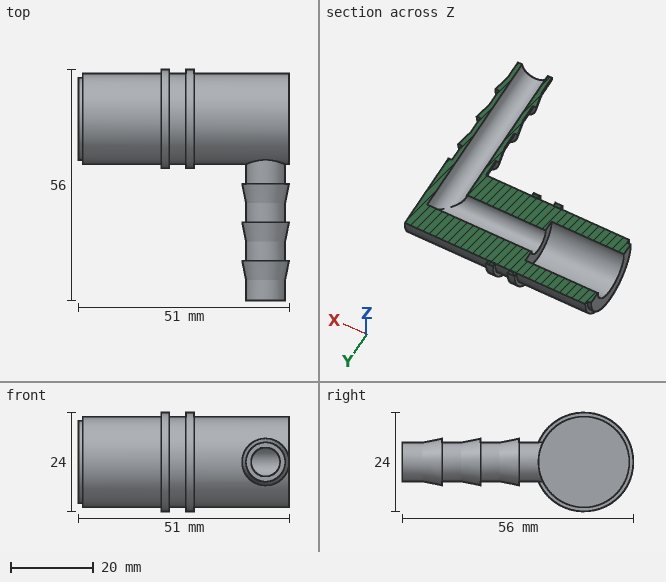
import cadquery as cq

barrel_length = 51.0
barrel_diameter = 22.0
nose_length = 1.0
nose_diameter = 20.0

socket_diameter = 13.0
socket_depth = 20.0
passage_diameter = 7.0
passage_radius = passage_diameter / 2

ring_diameter = 24.0
ring_width = 2.0
ring_starts = [20.0, 26.0]

tail_diameter = 9.5
tail_x = 45.3
tail_end = 44.0
barb_diameter = 11.4
barb_length = 4.7
barb_pitch = 9.3
barb_count = 3
first_barb_start = 15.7


def cylinder_along_x(start, length, diameter):
    """Solid cylinder on the X axis, running in +X from start."""
    return cq.Workplane("YZ", origin=(start, 0, 0)).circle(diameter / 2).extrude(length)


def cylinder_along_tail(length, diameter):
    """Solid cylinder on the hose tail axis, running in -Y from the barrel axis."""
    return cq.Workplane("XZ", origin=(tail_x, 0, 0)).circle(diameter / 2).extrude(length)


def make_barb(start):
    """Cone that is widest on the barrel side and narrows to the tail diameter."""
    return (
        cq.Workplane("XZ", origin=(tail_x, -start, 0))
        .circle(barb_diameter / 2)
        .workplane(offset=barb_length)
        .circle(tail_diameter / 2)
        .loft(ruled=True)
    )


def make_passage():
    """Right-angled water passage whose two equal bores meet in a mitre."""
    corner_x = tail_x + passage_radius
    mitre_side = (
        cq.Workplane("XY", origin=(0, 0, -passage_radius))
        .moveTo(corner_x, passage_radius)
        .lineTo(corner_x - barrel_length, passage_radius - barrel_length)
        .lineTo(corner_x - barrel_length, passage_radius)
        .close()
        .extrude(passage_diameter)
    )
    along_barrel = cylinder_along_x(0, corner_x, passage_diameter).intersect(mitre_side)
    along_tail = (
        cq.Workplane("XZ", origin=(tail_x, passage_radius, 0))
        .circle(passage_radius)
        .extrude(tail_end + passage_radius)
        .cut(mitre_side)
    )
    return along_barrel.union(along_tail)


def make_housing():
    """Elbow housing: barrel with a stepped nose, barbed hose tail and through passage."""
    body = cylinder_along_x(0, nose_length, nose_diameter)
    body = body.union(cylinder_along_x(nose_length, barrel_length - nose_length, barrel_diameter))
    body = body.union(cylinder_along_tail(tail_end, tail_diameter))
    for index in range(barb_count):
        body = body.union(make_barb(first_barb_start + index * barb_pitch))
    body = body.cut(cylinder_along_x(0, socket_depth, socket_diameter))
    return body.cut(make_passage())


def make_ring(start):
    """Collar ring fitted around the outside of the barrel."""
    ring = cylinder_along_x(start, ring_width, ring_diameter)
    return ring.cut(cylinder_along_x(start, ring_width, barrel_diameter))


housing = make_housing()
rings = [make_ring(start) for start in ring_starts]

result = cq.Compound.makeCompound([housing.val(), *[ring.val() for ring in rings]])